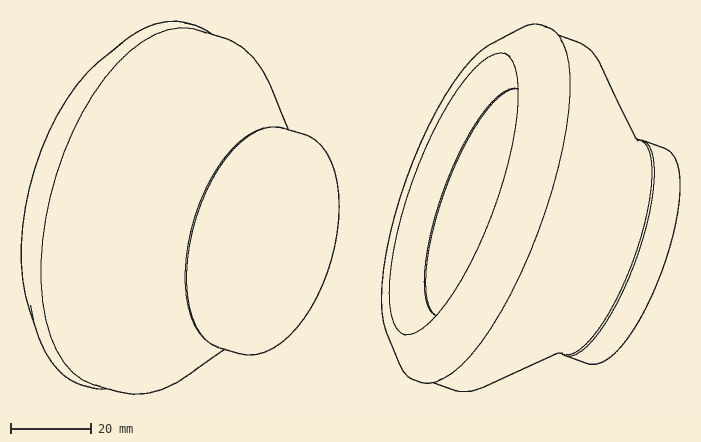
import cadquery as cq
import math

TOLERANCE = 0.01

ring_radius = 46.9
rim_front_x = 7.0
rim_back_x = 9.3
floor_x = 7.5
mouth_depth = 0.9
flank_end_x = 7.1
floor_radius = 30.0
lip_outer_radius = ring_radius - rim_front_x
lip_inner_radius = 37.2
lip_outer_round = 0.9
lip_inner_round = 0.5
rim_front_round = 0.5
rim_back_round = 0.75

body_radius = 46.0
neck_radius = 56.6 / 2
collar_radius = 57.0 / 2
shoulder_x = 17.5
neck_x = 41.0
groove_x = 41.6
collar_x = 42.1
end_x = 50.0
blend_radius = 5.0
end_round = 1.9
seat_x = rim_back_x + ring_radius - body_radius


def turn(profile):
    """Revolve an (x, radius) profile about the X axis."""
    return profile.close().revolve(360, (0, 0, 0), (1, 0, 0))


def round_circle(solid, x, radius, size):
    """Fillet the circular edge of the given radius in the plane at x."""
    def matches(edge):
        at_x = abs(edge.Center().x - x) < TOLERANCE
        return at_x and edge.geomType() == "CIRCLE" and abs(edge.radius() - radius) < TOLERANCE

    edges = [edge for edge in solid.edges().vals() if matches(edge)]
    return solid.newObject(edges).fillet(size)


def make_ring():
    profile = (
        cq.Workplane("XY")
        .moveTo(0, lip_inner_radius)
        .lineTo(0, lip_outer_radius)
        .lineTo(rim_front_x, ring_radius)
        .lineTo(rim_back_x, ring_radius)
        .lineTo(seat_x, body_radius)
        .lineTo(seat_x, floor_radius)
        .lineTo(flank_end_x, floor_radius)
        .lineTo(mouth_depth, lip_inner_radius)
    )
    ring = turn(profile)
    ring = round_circle(ring, 0, lip_outer_radius, lip_outer_round)
    ring = round_circle(ring, 0, lip_inner_radius, lip_inner_round)
    ring = round_circle(ring, rim_front_x, ring_radius, rim_front_round)
    return round_circle(ring, rim_back_x, ring_radius, rim_back_round)


def cone_angle():
    """Angle to the axis of the straight flank tangent to both equal rounds."""
    length = neck_x - shoulder_x
    drop = body_radius - neck_radius
    centre_drop = drop - 2 * blend_radius
    half_span = math.hypot(length, centre_drop) / 2
    return math.atan2(centre_drop, length) + math.asin(blend_radius / half_span)


def arc_offset(angle):
    """Axial and radial travel along a blend round after turning by the angle."""
    return blend_radius * math.sin(angle), blend_radius * (1 - math.cos(angle))


def make_knob():
    angle = cone_angle()
    mid_dx, mid_dr = arc_offset(angle / 2)
    end_dx, end_dr = arc_offset(angle)
    profile = (
        cq.Workplane("XY")
        .moveTo(floor_x, 0)
        .lineTo(floor_x, floor_radius)
        .lineTo(seat_x, floor_radius)
        .lineTo(seat_x, body_radius)
        .lineTo(shoulder_x, body_radius)
        .threePointArc(
            (shoulder_x + mid_dx, body_radius - mid_dr),
            (shoulder_x + end_dx, body_radius - end_dr),
        )
        .lineTo(neck_x - end_dx, neck_radius + end_dr)
        .threePointArc((neck_x - mid_dx, neck_radius + mid_dr), (neck_x, neck_radius))
        .lineTo(groove_x, neck_radius)
        .lineTo(collar_x, collar_radius)
        .lineTo(end_x, collar_radius)
        .lineTo(end_x, 0)
    )
    return round_circle(turn(profile), end_x, collar_radius, end_round)


ring = make_ring()
knob = make_knob()

result = cq.Compound.makeCompound([ring.val(), knob.val()])